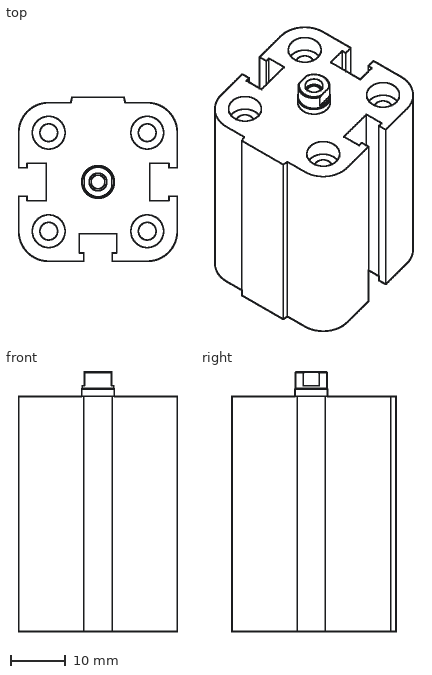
import cadquery as cq

TOTAL_HEIGHT = 47.5
HOUSING_WIDTH = 29.0
ROD_PROTRUSION = 4.5
HOUSING_HEIGHT = TOTAL_HEIGHT - ROD_PROTRUSION
HALF_WIDTH = HOUSING_WIDTH / 2

CORNER_RADIUS = 5.5
HOLE_OFFSET = HALF_WIDTH - CORNER_RADIUS

PAD_HEIGHT = 1.0
PAD_BASE_WIDTH = 9.98
PAD_TOP_WIDTH = 9.5

SLOT_DEPTH = 5.05
SLOT_LIP = 1.55
SLOT_OPENING = 5.2
SLOT_INNER_WIDTH = 6.8

COUNTERBORE_DIAMETER = 6.0
COUNTERBORE_DEPTH = 3.5
MOUNTING_HOLE_DIAMETER = 3.25
MOUNTING_HOLE_DEPTH = 11.88

ROD_DIAMETER = 6.0
ROD_END_DIAMETER = 5.8
ROD_END_LENGTH = 3.0
SHOULDER_TAPER_LENGTH = 0.2
SHOULDER_TAPER_WIDTH = (ROD_DIAMETER - ROD_END_DIAMETER) / 2
ROD_CHAMFER = 0.2
FLAT_SPACING = 5.0
FLAT_LENGTH = 2.5

SOCKET_MOUTH_DIAMETER = 3.25
SOCKET_MOUTH_DEPTH = 1.5
SOCKET_DIAMETER = 2.5
SOCKET_DEPTH = 3.8


def make_pad():
    """Trapezoidal pad running the full height of the +Y side."""
    return (
        cq.Workplane("XY")
        .polyline([
            (-PAD_BASE_WIDTH / 2, 0),
            (PAD_BASE_WIDTH / 2, 0),
            (PAD_BASE_WIDTH / 2, HALF_WIDTH),
            (PAD_TOP_WIDTH / 2, HALF_WIDTH + PAD_HEIGHT),
            (-PAD_TOP_WIDTH / 2, HALF_WIDTH + PAD_HEIGHT),
            (-PAD_BASE_WIDTH / 2, HALF_WIDTH),
        ])
        .close()
        .extrude(HOUSING_HEIGHT)
    )


def make_t_slot(turn):
    """Full-height T-slot of the -Y side, turned about Z by the given angle."""
    opening = (
        cq.Workplane("XY")
        .center(0, SLOT_DEPTH / 2 - HALF_WIDTH)
        .rect(SLOT_OPENING, SLOT_DEPTH)
        .extrude(HOUSING_HEIGHT)
    )
    inner = (
        cq.Workplane("XY")
        .center(0, (SLOT_LIP + SLOT_DEPTH) / 2 - HALF_WIDTH)
        .rect(SLOT_INNER_WIDTH, SLOT_DEPTH - SLOT_LIP)
        .extrude(HOUSING_HEIGHT)
    )
    return opening.union(inner).rotate((0, 0, 0), (0, 0, 1), turn)


def make_housing():
    """Square profile with a pad, three T-slots and four counterbored blind holes."""
    body = (
        cq.Workplane("XY")
        .rect(HOUSING_WIDTH, HOUSING_WIDTH)
        .extrude(HOUSING_HEIGHT)
        .edges("|Z")
        .fillet(CORNER_RADIUS)
        .union(make_pad())
    )
    for turn in (-90, 0, 90):
        body = body.cut(make_t_slot(turn))
    return (
        body.faces(">Z")
        .workplane(origin=(0, 0, HOUSING_HEIGHT))
        .rect(2 * HOLE_OFFSET, 2 * HOLE_OFFSET, forConstruction=True)
        .vertices()
        .cboreHole(
            MOUNTING_HOLE_DIAMETER,
            COUNTERBORE_DIAMETER,
            COUNTERBORE_DEPTH,
            MOUNTING_HOLE_DEPTH,
        )
    )


def make_rod():
    """Rod end standing on the housing, with a tapered shoulder, reduced tip, two wrench flats and a socket."""
    shoulder = (
        cq.Workplane("XY", origin=(0, 0, HOUSING_HEIGHT))
        .circle(ROD_DIAMETER / 2)
        .extrude(ROD_PROTRUSION - ROD_END_LENGTH)
        .faces(">Z")
        .edges()
        .chamfer(SHOULDER_TAPER_LENGTH, SHOULDER_TAPER_WIDTH)
    )
    tip = (
        shoulder.faces(">Z")
        .workplane()
        .circle(ROD_END_DIAMETER / 2)
        .extrude(ROD_END_LENGTH)
        .faces(">Z")
        .chamfer(ROD_CHAMFER)
    )
    flats = (
        cq.Workplane("XY", origin=(0, 0, TOTAL_HEIGHT - FLAT_LENGTH))
        .rect(2 * ROD_DIAMETER, 2 * ROD_DIAMETER)
        .rect(FLAT_SPACING, 2 * ROD_DIAMETER)
        .extrude(FLAT_LENGTH)
    )
    return (
        tip.cut(flats)
        .faces(">Z")
        .workplane(origin=(0, 0, TOTAL_HEIGHT))
        .cboreHole(
            SOCKET_DIAMETER,
            SOCKET_MOUTH_DIAMETER,
            SOCKET_MOUTH_DEPTH,
            SOCKET_DEPTH,
        )
    )


housing = make_housing()
rod = make_rod()

result = cq.Compound.makeCompound([housing.val(), rod.val()])